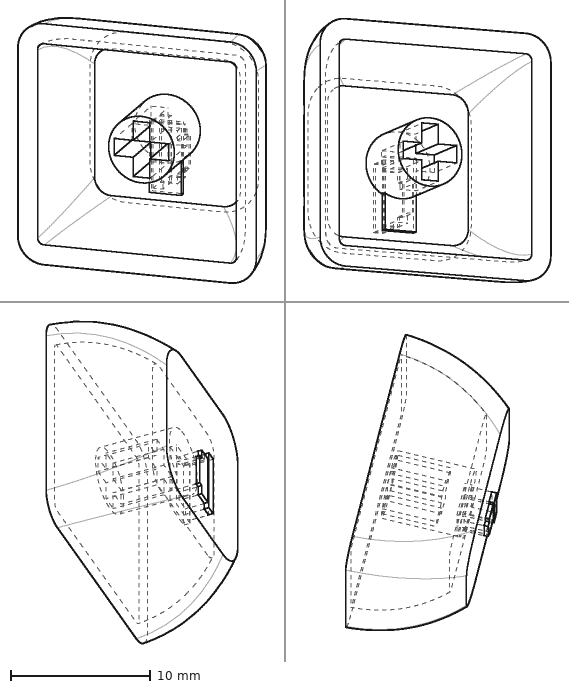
import cadquery as cq


RIM_WIDTH = 18.1
TOP_WIDTH = 12.78
CAP_HEIGHT = 8.29
RIM_RADIUS = 2.0
TOP_RADIUS = 2.72

WALL = 1.5
FLOOR_WIDTH = 11.05
TOP_THICKNESS = 1.5
FLOOR_RADIUS = 1.27
CAVITY_DEPTH = CAP_HEIGHT - TOP_THICKNESS

STEM_DIAMETER = 5.0
STEM_RECESS = 1.0
CROSS_SPAN = 4.16
CROSS_ARM_WIDTH = 1.27
CROSS_DEPTH = 3.98

LEGEND_WIDTH = 2.23
LEGEND_LENGTH = 5.0
LEGEND_CENTER_Z = -2.14
LEGEND_HEIGHT = 0.36
LOW_STROKE_HEIGHT = 0.29
TALL_STROKE_WIDTH = 0.76
END_STROKE_WIDTH = 0.36
LOW_STROKE_LENGTH = 3.98
END_STROKE_LENGTH = 2.5
BACKING_SIDE_MARGIN = 0.1
BACKING_END_MARGIN = 0.2
BACKING_PROUD = 0.5

MIDWAY_SHARE = 0.25


def square_section(width, radius, y):
    """Rounded square wire, centred on the Y axis at the given y."""
    plane = cq.Plane(origin=(0, y, 0), xDir=(1, 0, 0), normal=(0, 1, 0))
    flat = width / 2 - radius
    edge = width / 2
    outline = cq.Workplane(plane).moveTo(-flat, -edge)
    outline = outline.lineTo(flat, -edge).radiusArc((edge, -flat), -radius)
    outline = outline.lineTo(edge, flat).radiusArc((flat, edge), -radius)
    outline = outline.lineTo(-flat, edge).radiusArc((-edge, flat), -radius)
    outline = outline.lineTo(-edge, -flat).radiusArc((-flat, -edge), -radius)
    return outline.close().wire().val()


def curved_frustum(start_width, end_width, start_radius, end_radius, height):
    """Smooth loft along +Y that starts nearly parallel to the Y axis."""
    middle_width = start_width + MIDWAY_SHARE * (end_width - start_width)
    middle_radius = start_radius + MIDWAY_SHARE * (end_radius - start_radius)
    sections = [
        square_section(start_width, start_radius, 0),
        square_section(middle_width, middle_radius, height / 2),
        square_section(end_width, end_radius, height),
    ]
    return cq.Workplane(cq.Solid.makeLoft(sections))


def block(x_start, width, length, center_z, y_start, y_end):
    """Box from x_start toward +X, centred along Z on center_z."""
    bar = cq.Workplane().box(width, y_end - y_start, length, centered=(False, False, True))
    return bar.translate((x_start, y_start, center_z))


def make_insert():
    left = -LEGEND_WIDTH / 2
    right = LEGEND_WIDTH / 2
    backing = block(
        left - BACKING_SIDE_MARGIN,
        LEGEND_WIDTH + 2 * BACKING_SIDE_MARGIN,
        LEGEND_LENGTH + 2 * BACKING_END_MARGIN,
        LEGEND_CENTER_Z,
        CAVITY_DEPTH - BACKING_PROUD,
        CAVITY_DEPTH,
    )
    tall_top = CAP_HEIGHT + LEGEND_HEIGHT
    low_top = CAP_HEIGHT + LOW_STROKE_HEIGHT
    low_width = LEGEND_WIDTH - TALL_STROKE_WIDTH - END_STROKE_WIDTH
    low_start = left + TALL_STROKE_WIDTH
    end_start = right - END_STROKE_WIDTH
    tall = block(left, TALL_STROKE_WIDTH, LEGEND_LENGTH, LEGEND_CENTER_Z, CAVITY_DEPTH, tall_top)
    low = block(low_start, low_width, LOW_STROKE_LENGTH, LEGEND_CENTER_Z, CAVITY_DEPTH, low_top)
    end = block(end_start, END_STROKE_WIDTH, END_STROKE_LENGTH, LEGEND_CENTER_Z, CAVITY_DEPTH, low_top)
    return backing.union(tall).union(low).union(end)


def make_stem():
    stem_length = CAVITY_DEPTH - STEM_RECESS
    face = cq.Workplane("XZ", origin=(0, STEM_RECESS, 0))
    stem = face.circle(STEM_DIAMETER / 2).extrude(-stem_length)
    for arm_x, arm_z in ((CROSS_SPAN, CROSS_ARM_WIDTH), (CROSS_ARM_WIDTH, CROSS_SPAN)):
        stem = stem.cut(face.rect(arm_x, arm_z).extrude(-CROSS_DEPTH))
    return stem


def make_cap(insert):
    shell = curved_frustum(RIM_WIDTH, TOP_WIDTH, RIM_RADIUS, TOP_RADIUS, CAP_HEIGHT)
    cavity = curved_frustum(RIM_WIDTH - 2 * WALL, FLOOR_WIDTH, RIM_RADIUS - WALL, FLOOR_RADIUS, CAVITY_DEPTH)
    return shell.cut(cavity).union(make_stem()).cut(insert)


legend_insert = make_insert()
cap = make_cap(legend_insert)

result = cq.Compound.makeCompound([cap.val(), legend_insert.val()])